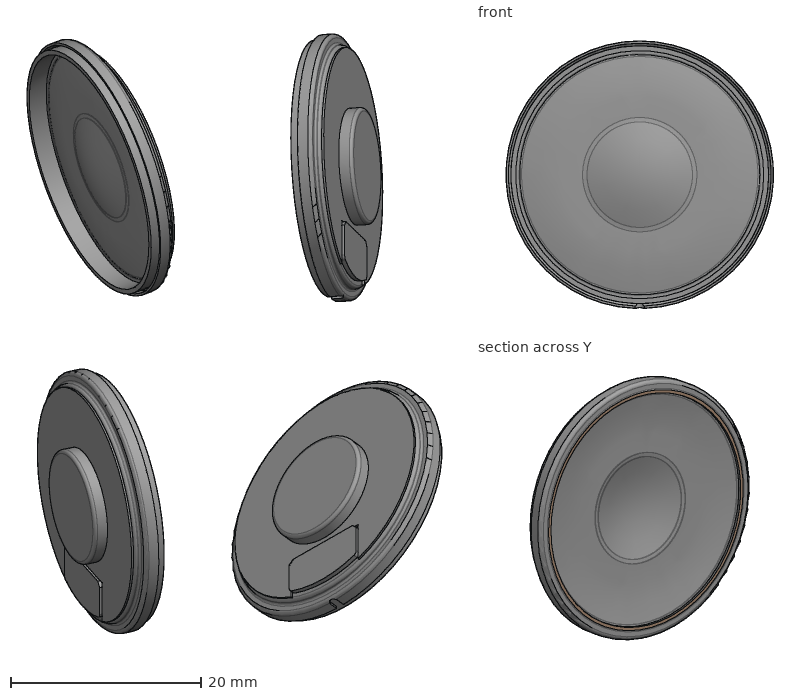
import cadquery as cq


FLANGE_RADIUS = 14.07
FLANGE_FRONT = 0.85
FLANGE_BACK = 2.4
FLANGE_FILLET = 0.42
SHEET = 0.26
INNER_CORNER_FILLET = 0.26
STEP_RADIUS = 12.88
STEP_BACK = 3.1
STEP_BACK_FILLET = 0.38
STEP_ROOT_FILLET = 0.25
flange_inner_radius = FLANGE_RADIUS - SHEET
flange_floor = FLANGE_BACK - SHEET
step_inner_radius = STEP_RADIUS - SHEET
step_floor = STEP_BACK - SHEET

SLOT_WIDTH = 0.96
SLOT_DEPTH = 1.4

RIM_OUTER_RADIUS = flange_inner_radius - INNER_CORNER_FILLET
RIM_INNER_RADIUS = 13.03

DIAPHRAGM_THICKNESS = 0.1
CONE_OUTER_RADIUS = 12.56
CONE_INNER_RADIUS = 5.77
CONE_RISE = 0.62
CONE_BULGE = 0.23
DOME_RISE = 1.1
CONE_BLEND_RADIUS = 1.2
diaphragm_front = flange_floor - DIAPHRAGM_THICKNESS

PLATE_RADIUS = 12.58
PLATE_THICKNESS = 0.23
plate_back = STEP_BACK + PLATE_THICKNESS

MAGNET_RADIUS = 6.17
MAGNET_FILLET = 0.38
OVERALL_DEPTH = 4.85

BOARD_TOP_Z = -7.0
BOARD_END_RADIUS = 12.03
BOARD_HALF_WIDTH = 4.7
BOARD_THICKNESS = 0.5
BOARD_CHAMFER = 0.5
BOARD_CORNER_FILLET = 0.5


def revolve_about_y(profile):
    """Close a (radius, Y) outline and turn it about the speaker axis."""
    return profile.close().revolve(360, (0, 0, 0), (0, 1, 0))


def disc(radius, front, back):
    """A round disc about the speaker axis, between two Y positions."""
    return cq.Workplane("XZ", origin=(0, front, 0)).circle(radius).extrude(front - back)


def arc_middle(start, end, bulge):
    """Middle point of an arc from start to end, moved toward the front by the bulge."""
    return ((start[0] + end[0]) / 2, (start[1] + end[1]) / 2 - bulge)


def make_frame():
    outside = revolve_about_y(
        cq.Workplane("ZY")
        .moveTo(0, FLANGE_FRONT)
        .lineTo(FLANGE_RADIUS, FLANGE_FRONT)
        .lineTo(FLANGE_RADIUS, FLANGE_BACK - FLANGE_FILLET)
        .radiusArc((FLANGE_RADIUS - FLANGE_FILLET, FLANGE_BACK), -FLANGE_FILLET)
        .lineTo(STEP_RADIUS + STEP_ROOT_FILLET, FLANGE_BACK)
        .radiusArc((STEP_RADIUS, FLANGE_BACK + STEP_ROOT_FILLET), STEP_ROOT_FILLET)
        .lineTo(STEP_RADIUS, STEP_BACK - STEP_BACK_FILLET)
        .radiusArc((STEP_RADIUS - STEP_BACK_FILLET, STEP_BACK), -STEP_BACK_FILLET)
        .lineTo(0, STEP_BACK)
    )
    flange_cavity = disc(flange_inner_radius, FLANGE_FRONT, flange_floor)
    flange_cavity = flange_cavity.faces(">Y").edges().fillet(INNER_CORNER_FILLET)
    step_cavity = disc(step_inner_radius, FLANGE_FRONT, step_floor)
    slot_radius = SLOT_WIDTH / 2
    slot_end_center = FLANGE_FRONT + SLOT_DEPTH - slot_radius
    wire_slot = (
        cq.Workplane("XY", origin=(0, 0, -FLANGE_RADIUS))
        .moveTo(-slot_radius, FLANGE_FRONT)
        .lineTo(-slot_radius, slot_end_center)
        .threePointArc((0, FLANGE_FRONT + SLOT_DEPTH), (slot_radius, slot_end_center))
        .lineTo(slot_radius, FLANGE_FRONT)
        .close()
        .extrude(FLANGE_RADIUS - RIM_OUTER_RADIUS)
    )
    return outside.cut(flange_cavity).cut(step_cavity).cut(wire_slot)


def make_rim_ring():
    return disc(RIM_OUTER_RADIUS, 0, diaphragm_front).cut(disc(RIM_INNER_RADIUS, 0, diaphragm_front))


def make_diaphragm():
    cone_outer = (CONE_OUTER_RADIUS, diaphragm_front)
    cone_inner = (CONE_INNER_RADIUS, diaphragm_front - CONE_RISE)
    dome_top = (0, cone_inner[1] - DOME_RISE)
    dome_arc_radius = (CONE_INNER_RADIUS**2 + DOME_RISE**2) / (2 * DOME_RISE)
    cone_middle = arc_middle(cone_outer, cone_inner, CONE_BULGE)
    diaphragm_back = diaphragm_front + DIAPHRAGM_THICKNESS

    def behind(point):
        """The matching point on the rear face of the sheet."""
        return (point[0], point[1] + DIAPHRAGM_THICKNESS)

    sheet = revolve_about_y(
        cq.Workplane("ZY")
        .moveTo(*dome_top)
        .radiusArc(cone_inner, -dome_arc_radius)
        .threePointArc(cone_middle, cone_outer)
        .lineTo(RIM_OUTER_RADIUS, diaphragm_front)
        .lineTo(RIM_OUTER_RADIUS, diaphragm_back)
        .lineTo(*behind(cone_outer))
        .threePointArc(behind(cone_middle), behind(cone_inner))
        .radiusArc(behind(dome_top), dome_arc_radius)
    )
    cone_edges = sheet.edges("%CIRCLE").filter(lambda edge: edge.radius() < RIM_INNER_RADIUS)
    return cone_edges.fillet(CONE_BLEND_RADIUS)


def make_terminal_board():
    board_back = STEP_BACK + BOARD_THICKNESS
    blank_height = BOARD_END_RADIUS + BOARD_TOP_Z
    blank = (
        cq.Workplane("XZ", origin=(0, STEP_BACK, 0))
        .center(0, BOARD_TOP_Z - blank_height / 2)
        .rect(2 * BOARD_HALF_WIDTH, blank_height)
        .extrude(-BOARD_THICKNESS)
        .edges("|Y and >Z")
        .chamfer(BOARD_CHAMFER)
    )
    board = blank.intersect(disc(BOARD_END_RADIUS, STEP_BACK, board_back))
    return board.edges("|Y").edges("<Z").fillet(BOARD_CORNER_FILLET)


def make_back_plate():
    notch_height = PLATE_RADIUS + BOARD_TOP_Z
    notch = (
        cq.Workplane("XZ", origin=(0, STEP_BACK, 0))
        .center(0, BOARD_TOP_Z - notch_height / 2)
        .rect(2 * BOARD_HALF_WIDTH, notch_height)
        .extrude(-PLATE_THICKNESS)
    )
    return disc(PLATE_RADIUS, STEP_BACK, plate_back).cut(notch)


def make_magnet():
    return disc(MAGNET_RADIUS, plate_back, OVERALL_DEPTH).faces(">Y").edges().fillet(MAGNET_FILLET)


frame = make_frame()
rim_ring = make_rim_ring()
diaphragm = make_diaphragm()
back_plate = make_back_plate()
magnet = make_magnet()
terminal_board = make_terminal_board()

result = cq.Compound.makeCompound(
    [
        frame.val(),
        rim_ring.val(),
        diaphragm.val(),
        back_plate.val(),
        magnet.val(),
        terminal_board.val(),
    ]
)